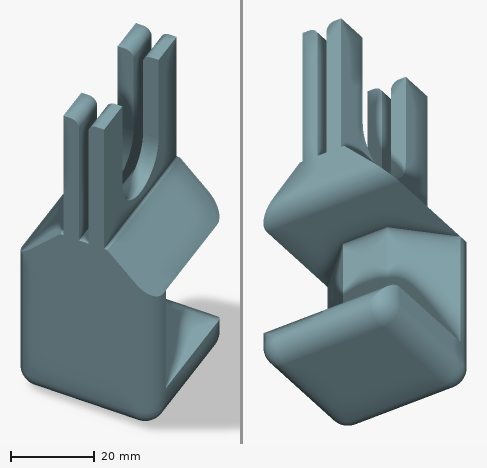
import cadquery as cq

width = 38.1
height = 91.9
edge_radius = 5.0
floor_thickness = 2 * edge_radius
shoulder_z = 53.8
shoulder_half_width = 6.3
opening_top_z = 41.2
fork_thickness = 11.0
fork_slot_width = 2.6
tip_radius = 2.3
notch_width = 19.0
notch_bottom_z = 57.0
wall_thickness = 6.2

half_width = width / 2
wall_face_y = wall_thickness - half_width
notch_radius = notch_width / 2


def make_body():
    """Rounded block with both sides of its top sloping up to a flat shoulder."""
    block = (
        cq.Workplane("XY")
        .box(width, width, shoulder_z, centered=(True, True, False))
        .edges("|Z or <Z")
        .fillet(edge_radius)
    )
    gable = (
        cq.Workplane("XZ")
        .moveTo(-half_width, 0)
        .lineTo(half_width, 0)
        .lineTo(half_width, opening_top_z)
        .lineTo(shoulder_half_width, shoulder_z)
        .lineTo(-shoulder_half_width, shoulder_z)
        .lineTo(-half_width, opening_top_z)
        .close()
        .extrude(half_width, both=True)
    )
    return block.intersect(gable)


def make_opening():
    """Space between floor and head, leaving a wall that thickens to mid depth."""
    return (
        cq.Workplane("XY")
        .workplane(offset=floor_thickness)
        .moveTo(-half_width, half_width)
        .lineTo(-half_width, wall_face_y)
        .lineTo(-shoulder_half_width, 0)
        .lineTo(shoulder_half_width, 0)
        .lineTo(half_width, wall_face_y)
        .lineTo(half_width, half_width)
        .close()
        .extrude(opening_top_z - floor_thickness)
    )


def make_mouth():
    """Flare that rounds the floor and the head where the opening meets the +Y side."""
    inner_y = half_width - edge_radius
    return (
        cq.Workplane("YZ")
        .moveTo(half_width, floor_thickness - edge_radius)
        .radiusArc((inner_y, floor_thickness), -edge_radius)
        .lineTo(inner_y, opening_top_z)
        .radiusArc((half_width, opening_top_z + edge_radius), -edge_radius)
        .close()
        .extrude(half_width, both=True)
    )


def make_fork():
    """Two parallel plates with rounded inner tips and a U-shaped notch."""
    fork_height = height - shoulder_z
    plate_thickness = (fork_thickness - fork_slot_width) / 2
    plate_offset = (fork_thickness + fork_slot_width) / 4
    fork = cq.Workplane("XY")
    for side, inner_edge in ((-1, ">X"), (1, "<X")):
        plate = (
            cq.Workplane("XY")
            .box(plate_thickness, width, fork_height, centered=(True, True, False))
            .faces(">Z")
            .edges(inner_edge)
            .fillet(tip_radius)
            .translate((side * plate_offset, 0, shoulder_z))
        )
        fork = fork.add(plate)
    notch_center_z = notch_bottom_z + notch_radius
    notch = (
        cq.Workplane("YZ")
        .moveTo(-notch_radius, height)
        .lineTo(-notch_radius, notch_center_z)
        .threePointArc((0, notch_bottom_z), (notch_radius, notch_center_z))
        .lineTo(notch_radius, height)
        .close()
        .extrude(fork_thickness, both=True)
    )
    return fork.combine().cut(notch)


body = make_body().cut(make_opening()).cut(make_mouth())
result = body.union(make_fork())